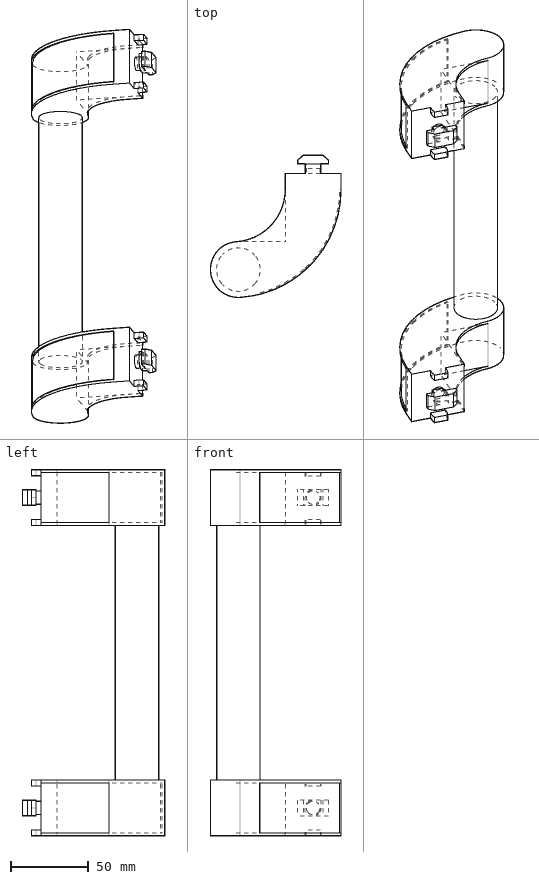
import cadquery as cq
import math


HANDLE_HEIGHT = 235.0
HANDLE_WIDTH = 84.0
HANDLE_DEPTH = 91.5

GRIP_DIAMETER = 28.0

ARM_WIDTH = 36.0
BRACKET_HEIGHT = 36.0
BEND_OUTER_RADIUS = 69.3
END_RADIUS = ARM_WIDTH / 2
BEND_INNER_RADIUS = BEND_OUTER_RADIUS - ARM_WIDTH
OUTER_SIDE_X = HANDLE_WIDTH - END_RADIUS
INNER_SIDE_X = OUTER_SIDE_X - ARM_WIDTH
MOUNT_CENTRE_X = OUTER_SIDE_X - ARM_WIDTH / 2
BEND_CENTRE_X = OUTER_SIDE_X - BEND_OUTER_RADIUS
BEND_CENTRE_DISTANCE = BEND_OUTER_RADIUS - END_RADIUS
BEND_CENTRE_Y = math.sqrt(BEND_CENTRE_DISTANCE**2 - BEND_CENTRE_X**2)

RECESS_RIM = 1.9
INNER_RECESS_DEPTH = 0.2
OUTER_RECESS_DEPTH = 1.0
RECESS_HEIGHT = BRACKET_HEIGHT - 2 * RECESS_RIM
OUTER_RECESS_START_X = 13.6

HEAD_LENGTH = 20.0
HEAD_WIDTH = 10.0
HEAD_THICKNESS = 5.6
HEAD_BEVEL_DEPTH = 3.3
HEAD_BEVEL_RUN = 3.8
NECK_LENGTH = 3.0
SHANK_LENGTH = 3.0
SHANK_DIAMETER = 8.7
BOLT_LENGTH = SHANK_LENGTH + NECK_LENGTH + HEAD_THICKNESS
MOUNT_FACE_Y = HANDLE_DEPTH - END_RADIUS - BOLT_LENGTH

TAB_WIDTH = 10.0
TAB_HEIGHT = 4.0
TAB_LENGTH = SHANK_LENGTH + NECK_LENGTH
TAB_TAPER_LENGTH = NECK_LENGTH
TAB_TAPER_INSET = 0.5

BRACKET_LEVELS = [side * (HANDLE_HEIGHT - BRACKET_HEIGHT) / 2 for side in (-1, 1)]


def bend_point(radius, degrees):
    """Point on a circle about the bend centre; 0 degrees is +X, -90 degrees is -Y."""
    angle = math.radians(degrees)
    return (
        BEND_CENTRE_X + radius * math.cos(angle),
        BEND_CENTRE_Y + radius * math.sin(angle),
    )


def extrude_about_mid(outline, height):
    """Extrude a closed XY outline to equal heights above and below Z = 0."""
    return outline.extrude(height).translate((0, 0, -height / 2))


def make_arm():
    """Curved arm with a round end about the grip and a flat mounting face."""
    end_angle = math.degrees(math.atan2(-BEND_CENTRE_Y, -BEND_CENTRE_X))
    mid_angle = end_angle / 2
    end_tip = (
        END_RADIUS * math.sin(math.radians(end_angle)),
        -END_RADIUS * math.cos(math.radians(end_angle)),
    )
    outline = (
        cq.Workplane("XY")
        .moveTo(INNER_SIDE_X, MOUNT_FACE_Y)
        .lineTo(OUTER_SIDE_X, MOUNT_FACE_Y)
        .lineTo(OUTER_SIDE_X, BEND_CENTRE_Y)
        .threePointArc(bend_point(BEND_OUTER_RADIUS, mid_angle), bend_point(BEND_OUTER_RADIUS, end_angle))
        .threePointArc(end_tip, bend_point(BEND_INNER_RADIUS, end_angle))
        .threePointArc(bend_point(BEND_INNER_RADIUS, mid_angle), (INNER_SIDE_X, BEND_CENTRE_Y))
        .close()
    )
    return extrude_about_mid(outline, BRACKET_HEIGHT)


def make_inner_recess():
    """Block that squares off the hollow of the bend between the two rims."""
    floor_y = BEND_CENTRE_Y - BEND_INNER_RADIUS
    outline = (
        cq.Workplane("XY")
        .moveTo(BEND_CENTRE_X, floor_y)
        .lineTo(INNER_SIDE_X + INNER_RECESS_DEPTH, floor_y)
        .lineTo(INNER_SIDE_X + INNER_RECESS_DEPTH, MOUNT_FACE_Y)
        .lineTo(BEND_CENTRE_X, MOUNT_FACE_Y)
        .close()
    )
    return extrude_about_mid(outline, RECESS_HEIGHT)


def make_outer_recess():
    """Thin curved skin taken off the outer bend between the two rims."""
    floor_radius = BEND_OUTER_RADIUS - OUTER_RECESS_DEPTH
    start_angle = -math.degrees(math.acos((OUTER_RECESS_START_X - BEND_CENTRE_X) / floor_radius))
    mid_angle = start_angle / 2
    skin_radius = BEND_OUTER_RADIUS + OUTER_RECESS_DEPTH
    outline = (
        cq.Workplane("XY")
        .moveTo(*bend_point(floor_radius, start_angle))
        .threePointArc(bend_point(floor_radius, mid_angle), bend_point(floor_radius, 0))
        .lineTo(*bend_point(skin_radius, 0))
        .threePointArc(bend_point(skin_radius, mid_angle), bend_point(skin_radius, start_angle))
        .close()
    )
    return extrude_about_mid(outline, RECESS_HEIGHT)


def make_tab():
    """Locating tab centred on Z = 0, with its sides tapering in towards the tip."""
    half_width = TAB_WIDTH / 2
    half_tip = half_width - TAB_TAPER_INSET
    taper_y = TAB_LENGTH - TAB_TAPER_LENGTH
    corners = [
        (-half_width, 0),
        (half_width, 0),
        (half_width, taper_y),
        (half_tip, TAB_LENGTH),
        (-half_tip, TAB_LENGTH),
        (-half_width, taper_y),
    ]
    outline = cq.Workplane("XY").polyline(corners).close()
    return extrude_about_mid(outline, TAB_HEIGHT).translate((MOUNT_CENTRE_X, MOUNT_FACE_Y, 0))


def make_bracket(level):
    """Curved bracket centred at the given height, with its tabs flush with top and bottom."""
    bracket = make_arm().cut(make_inner_recess()).cut(make_outer_recess())
    for side in (-1, 1):
        tab_z = side * (BRACKET_HEIGHT - TAB_HEIGHT) / 2
        bracket = bracket.union(make_tab().translate((0, 0, tab_z)))
    return bracket.translate((0, 0, level))


def make_bolt_neck():
    """Square neck with two opposite corners rounded to the full half width."""
    half = HEAD_WIDTH / 2
    arc_offset = half / math.sqrt(2)
    outline = (
        cq.Workplane("XZ")
        .moveTo(-half, 0)
        .threePointArc((-arc_offset, arc_offset), (0, half))
        .lineTo(half, half)
        .lineTo(half, 0)
        .threePointArc((arc_offset, -arc_offset), (0, -half))
        .lineTo(-half, -half)
        .close()
    )
    return outline.extrude(-NECK_LENGTH).translate((0, SHANK_LENGTH, 0))


def make_bolt_head():
    """Hammer head whose two ends are bevelled towards the outer face."""
    half_length = HEAD_LENGTH / 2
    half_top = half_length - HEAD_BEVEL_RUN
    base_y = BOLT_LENGTH - HEAD_THICKNESS
    bevel_y = BOLT_LENGTH - HEAD_BEVEL_DEPTH
    corners = [
        (-half_length, base_y),
        (half_length, base_y),
        (half_length, bevel_y),
        (half_top, BOLT_LENGTH),
        (-half_top, BOLT_LENGTH),
        (-half_length, bevel_y),
    ]
    outline = cq.Workplane("XY").polyline(corners).close()
    return extrude_about_mid(outline, HEAD_WIDTH)


def make_bolt(level):
    """Hammer-head bolt standing on the mounting face at the given height."""
    shank = cq.Workplane("XZ").circle(SHANK_DIAMETER / 2).extrude(-SHANK_LENGTH)
    bolt = shank.union(make_bolt_neck()).union(make_bolt_head())
    return bolt.translate((MOUNT_CENTRE_X, MOUNT_FACE_Y, level))


def make_grip():
    """Round grip bar reaching from one bracket to the other."""
    grip_length = HANDLE_HEIGHT - 2 * BRACKET_HEIGHT
    return extrude_about_mid(cq.Workplane("XY").circle(GRIP_DIAMETER / 2), grip_length)


grip = make_grip()
brackets = [make_bracket(level) for level in BRACKET_LEVELS]
bolts = [make_bolt(level) for level in BRACKET_LEVELS]

result = cq.Compound.makeCompound([body.val() for body in (grip, *brackets, *bolts)])